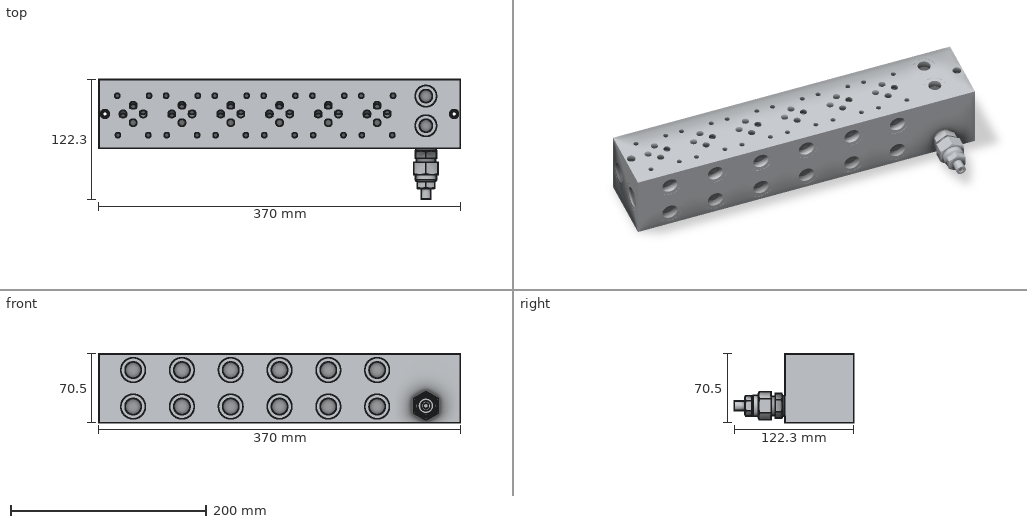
import cadquery as cq
import math

LENGTH = 370.0
SECTION = 70.5
MID = SECTION / 2

DOWN = (0, 0, -1)
INTO_FRONT = (0, 1, 0)

STATION_COUNT = 6
STATION_PITCH = 50.0
FIRST_STATION_X = 35.0

PORT_DEPTH = 7.8
SPOTFACE_DEPTH = 0.2
PORT_INSET = 16.5
WORK_PORT = (16.5, 25.0)
WORK_PORT_HEIGHTS = (PORT_INSET, SECTION - PORT_INSET)
TOP_PORT = (13.5, 22.0)
TOP_PORT_X = 335.0
TOP_PORT_YS = (23.3, 53.5)
END_PORT = (21.0, 29.0)

END_FLOOR_DIAMETER = 20.0
END_FLOOR_SHIFT = 1.0

BOLT_DIAMETER = 5.0
BOLT_DEPTH = 13.0
REAR_BOLT_Y = 54.0
FRONT_BOLT_Y = 13.7
REAR_BOLT_SPACING = 32.5
FRONT_BOLT_SPACING = 31.0
FLOW_DIAMETER = 7.5
LEAN_FLOOR_DIAMETER = 6.5
FLOW_DEPTH = 7.5
PRESSURE_OFFSET = 10.5
WORK_OFFSET = 9.0
STEEP_LEAN = 3.0
SLIGHT_LEAN = 2.2

MOUNT_INSET = 6.3
MOUNT_DIAMETER = 5.0
MOUNT_HEAD_DIAMETER = 9.0
MOUNT_HEAD_DEPTH = 7.5

VALVE_X = TOP_PORT_X
VALVE_Z = 17.5
COLLAR_DIAMETER, COLLAR_END = 21.0, 2.2
BODY_HEX_FLATS, BODY_HEX_END = 22.0, 10.0
NECK_DIAMETER, NECK_END = 20.0, 14.0
LOCK_HEX_FLATS, LOCK_HEX_END = 25.0, 27.0
SLEEVE_DIAMETER, SLEEVE_END = 22.0, 34.0
SLEEVE_CHAMFER = 2.0
CAP_HEX_FLATS, CAP_HEX_END = 18.0, 41.0
STEM_DIAMETER, STEM_END = 10.0, 51.8
SOCKET_FLATS, SOCKET_DEPTH = 5.0, 3.7
HEX_SIDES = 6
HEX_CORNER_UP_TURN = 90
HEX_TRIM_LENGTH = 1.0
HEX_TRIM_DEPTH = 2.2


def drill(start, direction, diameter, depth):
    """Cylinder from a start point along a direction."""
    return cq.Workplane(obj=cq.Solid.makeCylinder(
        diameter / 2, depth, cq.Vector(*start), cq.Vector(*direction)))


def leaning_bore(mouth, mouth_diameter, floor_diameter, depth, lean):
    """Tapered bore whose flat floor is shifted sideways by lean.

    Lean is an offset in the mouth plane; depth is measured along the normal of the mouth plane.
    """
    return (mouth.circle(mouth_diameter / 2)
            .workplane(offset=depth).center(*lean).circle(floor_diameter / 2)
            .loft(ruled=True))


def port(start, direction, sizes):
    """Blind port with a shallow spotface around its mouth."""
    diameter, spotface = sizes
    bore = drill(start, direction, diameter, PORT_DEPTH)
    return bore.union(drill(start, direction, spotface, SPOTFACE_DEPTH))


def flow_hole(x, y, lean):
    """Leaning flow hole in the top face."""
    mouth = cq.Workplane("XY", origin=(x, y, SECTION))
    return leaning_bore(mouth, FLOW_DIAMETER, LEAN_FLOOR_DIAMETER, -FLOW_DEPTH, (0, lean))


def station_cuts(x):
    """Two front work ports, the valve flow holes and the valve bolt holes."""
    cuts = [port((x, 0, z), INTO_FRONT, WORK_PORT) for z in WORK_PORT_HEIGHTS]
    cuts.append(flow_hole(x - PRESSURE_OFFSET, MID, -STEEP_LEAN))
    cuts.append(flow_hole(x + PRESSURE_OFFSET, MID, STEEP_LEAN))
    cuts.append(flow_hole(x, MID + WORK_OFFSET, -SLIGHT_LEAN))
    cuts.append(drill((x, MID - WORK_OFFSET, SECTION), DOWN, FLOW_DIAMETER, FLOW_DEPTH))
    for y, spacing in ((REAR_BOLT_Y, REAR_BOLT_SPACING), (FRONT_BOLT_Y, FRONT_BOLT_SPACING)):
        for side in (-1, 1):
            start = (x + side * spacing / 2, y, SECTION)
            cuts.append(drill(start, DOWN, BOLT_DIAMETER, BOLT_DEPTH))
    return cuts


def end_cuts():
    """Blind ports in the -X end face with their floors nearer the middle."""
    diameter, spotface = END_PORT
    cuts = []
    for side in (-1, 1):
        port_y = MID + side * (MID - PORT_INSET)
        mouth = cq.Workplane("YZ", origin=(0, port_y, MID))
        cuts.append(leaning_bore(mouth, diameter, END_FLOOR_DIAMETER,
                                 PORT_DEPTH, (-side * END_FLOOR_SHIFT, 0)))
        cuts.append(mouth.circle(spotface / 2).extrude(SPOTFACE_DEPTH))
    return cuts


def mount_cuts():
    """Counterbored through holes from the top face."""
    cuts = []
    for x in (MOUNT_INSET, LENGTH - MOUNT_INSET):
        start = (x, MID, SECTION)
        cuts.append(drill(start, DOWN, MOUNT_DIAMETER, SECTION))
        cuts.append(drill(start, DOWN, MOUNT_HEAD_DIAMETER, MOUNT_HEAD_DEPTH))
    return cuts


def valve_plane(distance):
    """Workplane facing -Y on the valve axis at a distance from the front face."""
    return cq.Workplane("XZ", origin=(VALVE_X, -distance, VALVE_Z))


def disc(start, end, diameter):
    """Cylinder on the valve axis between two distances from the front face."""
    return valve_plane(start).circle(diameter / 2).extrude(end - start)


def across_corners(flats):
    """Hexagon width over corners from its width over flats."""
    return flats / math.cos(math.pi / HEX_SIDES)


def hexagon(start, end, flats):
    """Hexagonal prism with corners up and down."""
    return (valve_plane(start).transformed(rotate=(0, 0, HEX_CORNER_UP_TURN))
            .polygon(HEX_SIDES, across_corners(flats)).extrude(end - start))


def trimmed_hexagon(base, tip, flats):
    """Hexagonal prism with its corners trimmed by a cone at the tip."""
    corner_radius = across_corners(flats) / 2
    trim_length = math.copysign(HEX_TRIM_LENGTH, tip - base)
    trim_start = tip - trim_length
    cone = (valve_plane(trim_start).circle(corner_radius)
            .workplane(offset=trim_length).circle(corner_radius - HEX_TRIM_DEPTH)
            .loft(ruled=True))
    envelope = disc(base, trim_start, 2 * corner_radius).union(cone)
    return hexagon(base, tip, flats).intersect(envelope)


def relief_valve():
    """Stacked round and hexagonal sections with a hexagon socket in the stem."""
    valve = disc(0, COLLAR_END, COLLAR_DIAMETER)
    valve = valve.union(trimmed_hexagon(BODY_HEX_END, COLLAR_END, BODY_HEX_FLATS))
    valve = valve.union(disc(BODY_HEX_END, NECK_END, NECK_DIAMETER))
    valve = valve.union(trimmed_hexagon(NECK_END, LOCK_HEX_END, LOCK_HEX_FLATS))
    sleeve = disc(LOCK_HEX_END, SLEEVE_END, SLEEVE_DIAMETER).faces("<Y").chamfer(SLEEVE_CHAMFER)
    valve = valve.union(sleeve)
    valve = valve.union(trimmed_hexagon(SLEEVE_END, CAP_HEX_END, CAP_HEX_FLATS))
    valve = valve.union(disc(CAP_HEX_END, STEM_END, STEM_DIAMETER))
    return valve.cut(hexagon(STEM_END - SOCKET_DEPTH, STEM_END, SOCKET_FLATS))


block = cq.Workplane("XY").box(LENGTH, SECTION, SECTION, centered=False)

cuts = end_cuts() + mount_cuts()
for index in range(STATION_COUNT):
    cuts += station_cuts(FIRST_STATION_X + index * STATION_PITCH)
for port_y in TOP_PORT_YS:
    cuts.append(port((TOP_PORT_X, port_y, SECTION), DOWN, TOP_PORT))
for cutter in cuts:
    block = block.cut(cutter)

result = block.union(relief_valve())